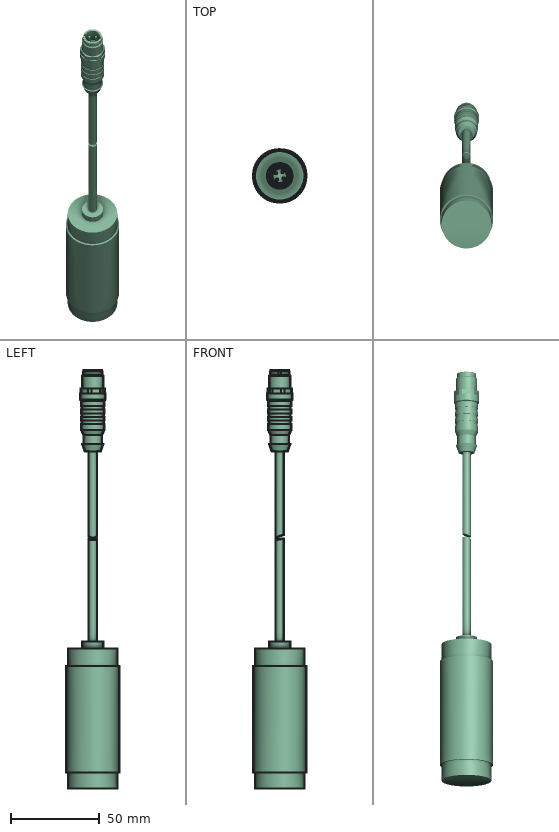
import cadquery as cq

housing_dia = 30.0
housing_end_dia = 28.0
sleeve_bottom_z = 9.0
sleeve_top_z = 69.0
housing_top_z = 79.0
gland_dia = 12.0
gland_top_z = 82.9

cable_dia = 4.8
lower_break_z = 140.5
lower_break_rise = 0.9
upper_break_z = 142.1
upper_break_rise = 1.7

connector_top_z = 235.68
strain_relief_bottom_z = 189.9
strain_relief_bottom_dia = 9.0
strain_relief_top_z = 194.2
strain_relief_top_dia = 12.0
neck_dia = 10.5
neck_top_z = 199.2
grip_dia = 13.0
grip_bottom_z = 202.0
collar_bottom_z = 218.6
collar_dia = 14.25
collar_top_z = 222.5
nut_top_z = 225.4
nut_corner_dia = 14.0
nut_across_flats = 13.0
nut_flats = 6
nut_turn = 15.0
barrel_dia = 12.0
barrel_top_z = 233.1
plug_dia = 10.8
plug_tip_dia = 10.5
plug_tip_height = 0.8
collar_bevel = 0.4

groove_dia = 12.4
groove_width = 2.0
groove_pitch = 2 * groove_width
groove_count = 3
first_groove_z = 205.36

socket_dia = 8.3
socket_depth = 8.0
pin_count = 4
pin_dia = 1.0
pin_circle_dia = 5.2
pin_tip_depth = 2.5
first_pin_angle = 55.0
keyway_width = 1.5
keyway_span = 9.6
keyway_depth = 5.0


def cylinder(diameter, bottom_z, top_z):
    return cq.Workplane("XY").workplane(offset=bottom_z).circle(diameter / 2).extrude(top_z - bottom_z)


def cone(bottom_dia, top_dia, bottom_z, top_z):
    solid = cq.Solid.makeCone(bottom_dia / 2, top_dia / 2, top_z - bottom_z, cq.Vector(0, 0, bottom_z))
    return cq.Workplane(solid)


def cable_end(start_z, break_z, break_rise):
    """Cable from start_z to a cut that is slanted in X and centred on break_z."""
    radius = cable_dia / 2
    outline = [
        (-radius, start_z),
        (radius, start_z),
        (radius, break_z + break_rise / 2),
        (-radius, break_z - break_rise / 2),
    ]
    slab = cq.Workplane("XZ").polyline(outline).close().extrude(radius, both=True)
    low_z = min(start_z, break_z - break_rise)
    high_z = max(start_z, break_z + break_rise)
    return cylinder(cable_dia, low_z, high_z).intersect(slab)


def strain_relief():
    """Cone that widens from the cable up to a ledge below the neck."""
    return cone(strain_relief_bottom_dia, strain_relief_top_dia, strain_relief_bottom_z, strain_relief_top_z)


def hex_nut():
    """Hexagonal nut whose corners are turned down to a circle."""
    hexagon = (
        cq.Workplane("XY")
        .workplane(offset=collar_top_z)
        .polygon(nut_flats, nut_across_flats, circumscribed=True)
        .extrude(nut_top_z - collar_top_z)
        .rotate((0, 0, 0), (0, 0, 1), nut_turn)
    )
    return hexagon.intersect(cylinder(nut_corner_dia, collar_top_z, nut_top_z))


def grip():
    """Grip sleeve with a bevelled top edge and evenly spaced ring grooves."""
    body = cylinder(grip_dia, grip_bottom_z, collar_bottom_z)
    body = body.faces(">Z").chamfer(collar_bevel)
    for index in range(groove_count):
        bottom_z = first_groove_z + index * groove_pitch
        ring = cylinder(grip_dia, bottom_z, bottom_z + groove_width)
        body = body.cut(ring.cut(cylinder(groove_dia, bottom_z, bottom_z + groove_width)))
    return body


def pins():
    """Contact pins standing on the socket floor."""
    return (
        cq.Workplane("XY")
        .workplane(offset=connector_top_z - socket_depth)
        .polarArray(pin_circle_dia / 2, first_pin_angle, 360, pin_count)
        .circle(pin_dia / 2)
        .extrude(socket_depth - pin_tip_depth)
    )


def keyways():
    """Two opposite notches cut outward into the socket wall."""
    return (
        cq.Workplane("XY")
        .workplane(offset=connector_top_z - keyway_depth)
        .rect(keyway_width, keyway_span)
        .extrude(keyway_depth)
    )


def collar():
    """Collar whose lower bevel forms a V-groove with the grip."""
    ring = cylinder(collar_dia, collar_bottom_z, collar_top_z)
    return ring.faces("<Z").chamfer(collar_bevel)


def barrel():
    """Locking barrel with a 45 degree shoulder down to the plug diameter."""
    ring = cylinder(barrel_dia, nut_top_z, barrel_top_z)
    return ring.faces(">Z").chamfer((barrel_dia - plug_dia) / 2)


def plug():
    """Plug end with a small step at its tip."""
    tip_bottom_z = connector_top_z - plug_tip_height
    return cylinder(plug_dia, barrel_top_z, tip_bottom_z).union(
        cylinder(plug_tip_dia, tip_bottom_z, connector_top_z)
    )


sensor = (
    cylinder(housing_end_dia, 0, housing_top_z)
    .union(cylinder(housing_dia, sleeve_bottom_z, sleeve_top_z))
    .union(cylinder(gland_dia, housing_top_z, gland_top_z))
    .union(cable_end(gland_top_z, lower_break_z, lower_break_rise))
)

connector = (
    cable_end(strain_relief_bottom_z, upper_break_z, upper_break_rise)
    .union(strain_relief())
    .union(cylinder(neck_dia, strain_relief_top_z, neck_top_z))
    .union(cone(neck_dia, grip_dia, neck_top_z, grip_bottom_z))
    .union(grip())
    .union(collar())
    .union(hex_nut())
    .union(barrel())
    .union(plug())
    .cut(cylinder(socket_dia, connector_top_z - socket_depth, connector_top_z))
    .cut(keyways())
    .union(pins())
)

result = cq.Compound.makeCompound([sensor.val(), connector.val()])